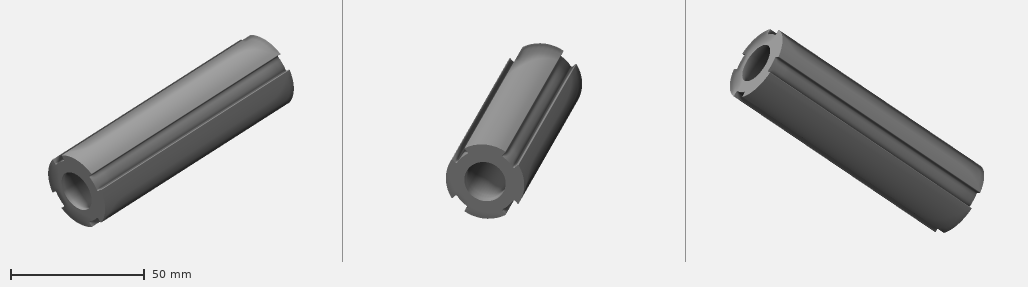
import cadquery as cq
import math

length = 100.0
outer_radius = 15.0
bore_radius = 7.9
slot_count = 4
first_slot_angle = 45.0
slot_half_width = 3.3
slot_floor_radius = 12.6
floor_corner_radius = 0.5
lip_radius = 0.2
cut_margin = 1.0


def extruded(sketch):
    """Extrude a profile in the XZ plane along Y, centred on the origin."""
    return sketch.extrude(length / 2, both=True)


def make_slot():
    """Slot cutter pointing along +Z, with a floor concentric with the rod and rounded floor corners."""
    top = outer_radius + cut_margin
    floor_edge_height = math.sqrt(slot_floor_radius**2 - slot_half_width**2)
    slot = extruded(
        cq.Workplane("XZ")
        .moveTo(-slot_half_width, top)
        .lineTo(-slot_half_width, floor_edge_height)
        .threePointArc((0, slot_floor_radius), (slot_half_width, floor_edge_height))
        .lineTo(slot_half_width, top)
        .close()
    )
    return slot.edges("|Y and <Z").fillet(floor_corner_radius)


def cut_slots(body):
    slot = make_slot()
    for index in range(slot_count):
        angle = first_slot_angle + index * 360.0 / slot_count
        body = body.cut(slot.rotate((0, 0, 0), (0, 1, 0), angle))
    return body


def round_lips(body):
    """Round the long edges lying on the outer surface."""
    lip_height = math.sqrt(outer_radius**2 - slot_half_width**2)
    for index in range(slot_count):
        angle = math.radians(first_slot_angle + index * 360.0 / slot_count)
        for side in (-slot_half_width, slot_half_width):
            x = lip_height * math.sin(angle) + side * math.cos(angle)
            z = lip_height * math.cos(angle) - side * math.sin(angle)
            lip = body.edges(cq.NearestToPointSelector((x, 0, z)))
            body = lip.fillet(lip_radius)
    return body


solid_rod = extruded(cq.Workplane("XZ").circle(outer_radius))
bore = extruded(cq.Workplane("XZ").circle(bore_radius))
result = round_lips(cut_slots(solid_rod)).cut(bore)